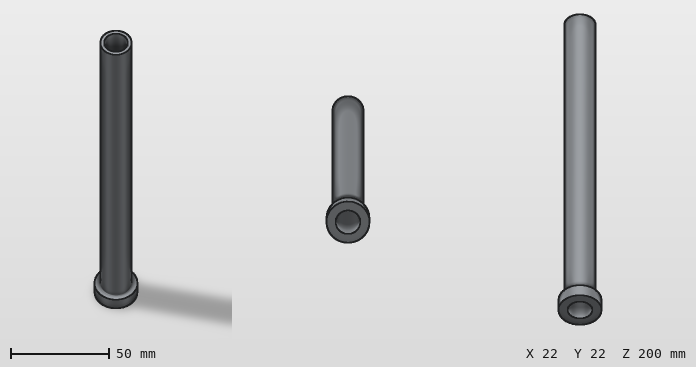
import cadquery as cq

TOTAL_LENGTH = 200.0
HEAD_HEIGHT = 7.0
GUIDE_LENGTH = 50.0

HEAD_DIAMETER = 22.0
SHANK_DIAMETER = 16.0
GUIDE_BORE_DIAMETER = 12.0
RELIEF_BORE_DIAMETER = 12.5

NECK_FILLET_RADIUS = 0.7


def make_sleeve_body():
    """Solid shank on a wider head, with a rounded neck between them."""
    head_radius = HEAD_DIAMETER / 2
    shank_radius = SHANK_DIAMETER / 2
    profile = (
        cq.Workplane("XZ")
        .lineTo(head_radius, 0)
        .lineTo(head_radius, HEAD_HEIGHT)
        .lineTo(shank_radius + NECK_FILLET_RADIUS, HEAD_HEIGHT)
        .radiusArc((shank_radius, HEAD_HEIGHT + NECK_FILLET_RADIUS), NECK_FILLET_RADIUS)
        .lineTo(shank_radius, TOTAL_LENGTH)
        .lineTo(0, TOTAL_LENGTH)
        .close()
    )
    return profile.revolve(360, (0, 0, 0), (0, 1, 0))


def make_bore():
    """Through bore, widened from the head end up to the guide stretch."""
    relief_depth = TOTAL_LENGTH - GUIDE_LENGTH
    guide = cq.Workplane("XY").circle(GUIDE_BORE_DIAMETER / 2).extrude(TOTAL_LENGTH)
    relief = cq.Workplane("XY").circle(RELIEF_BORE_DIAMETER / 2).extrude(relief_depth)
    return guide.union(relief)


result = make_sleeve_body().cut(make_bore())